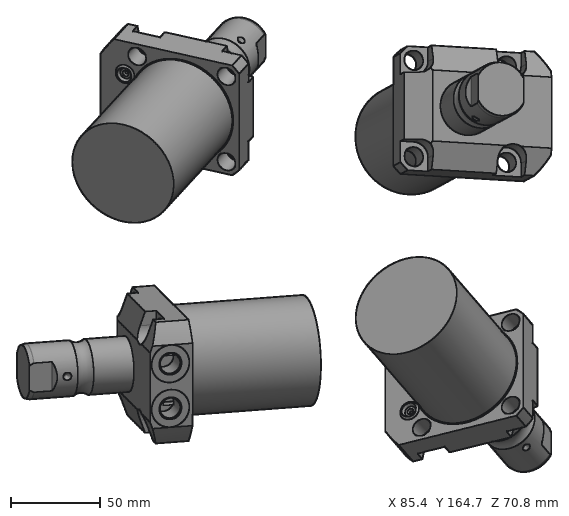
import cadquery as cq
import math


total_length = 164.7
plate_thickness = 24.7
rod_length = 60.1
barrel_length = total_length - plate_thickness - rod_length
rod_end_y = plate_thickness + rod_length

barrel_radius = 31.3
collar_radius = 31.8
collar_length = 0.5

plate_left = -50.0
plate_right = 35.4
plate_half_height = 35.4
left_corner_width = 8.4
left_corner_height = 11.4
left_corner_radius = 55.0
right_corner_radius = 47.1
land_half_height = 20.3
slope_depth = 5.6

hole_offset = 27.5
hole_diameter = 11.0
seat_radius = 8.4
seat_height = 12.7

port_z = 13.0
port_y = 12.8
port_diameter = 11.7
port_chamfer = 0.7
spot_face_diameter = 21.9
spot_face_depth = 0.2

plug_x = -35.0
plug_z = 14.5
plug_radius = 5.8
plug_depth = 5.0
plug_height = 1.2
plug_rim_radius = 4.5
plug_recess_radius = 3.3
plug_recess_depth = 2.0
socket_mouth_radius = 1.8
socket_floor_radius = 1.0
socket_depth = 1.3
passage_diameter = 2.0

rod_radius = 15.8
rod_tip_length = 2.5
rod_tip_inset = 0.7
groove_start = 27.5
groove_width = 9.2
groove_depth = 1.5
flat_half_width = 13.3
flat_length = 13.0
flat_fillet = 0.7
dimple_distance = 21.4
dimple_diameter = 4.8
dimple_angles = (60, 180, 300)


def cylinder_y(radius, start_y, end_y, x=0.0, z=0.0):
    """Solid cylinder along Y."""
    length = end_y - start_y
    return cq.Workplane(cq.Solid.makeCylinder(radius, length, cq.Vector(x, start_y, z), cq.Vector(0, 1, 0)))


def make_barrel():
    barrel = cylinder_y(barrel_radius, -barrel_length, 0)
    return barrel.union(cylinder_y(collar_radius, -collar_length, 0))


def sloped_edge(angle, edge_distance):
    """Wedge that bevels the +Y edge of the side facing `angle`, measured from +X towards +Z."""
    profile = [
        (land_half_height, plate_thickness),
        (edge_distance, plate_thickness - slope_depth),
        (edge_distance, plate_thickness),
    ]
    wedge_reach = 2 * plate_half_height
    wedge = cq.Workplane("XY").polyline(profile).close().extrude(wedge_reach, both=True)
    return wedge.rotate((0, 0, 0), (0, 1, 0), -angle)


def screw_seat(side):
    """Flat seats for the screw heads at the top (side = 1) or bottom (side = -1) of the plate."""
    reach = 2 * seat_radius
    seat_depth = plate_thickness - seat_height
    left_slot = (
        cq.Workplane("XY")
        .box(2 * seat_radius, seat_depth, reach, centered=(True, False, False))
        .translate((-hole_offset, seat_height, hole_offset))
        .union(cylinder_y(seat_radius, seat_height, plate_thickness, -hole_offset, hole_offset))
    )
    inner = hole_offset - seat_radius
    right_corner = (
        cq.Workplane("XY")
        .box(seat_radius + reach, seat_depth, seat_radius + reach, centered=False)
        .translate((inner, seat_height, inner))
        .edges("|Y and <X and <Z")
        .fillet(seat_radius)
    )
    seats = left_slot.union(right_corner)
    return seats if side > 0 else seats.mirror("XY")


def make_plate():
    left_edge_z = plate_half_height - left_corner_height
    left_corner_x = plate_left + left_corner_width
    right_edge_z = math.sqrt(right_corner_radius**2 - plate_right**2)
    right_corner_x = math.sqrt(right_corner_radius**2 - plate_half_height**2)
    plate = (
        cq.Workplane("XZ")
        .moveTo(plate_left, -left_edge_z)
        .lineTo(plate_left, left_edge_z)
        .radiusArc((left_corner_x, plate_half_height), left_corner_radius)
        .lineTo(right_corner_x, plate_half_height)
        .radiusArc((plate_right, right_edge_z), right_corner_radius)
        .lineTo(plate_right, -right_edge_z)
        .radiusArc((right_corner_x, -plate_half_height), right_corner_radius)
        .lineTo(left_corner_x, -plate_half_height)
        .radiusArc((plate_left, -left_edge_z), left_corner_radius)
        .close()
        .extrude(-plate_thickness)
    )
    plate = plate.cut(sloped_edge(0, plate_right))
    plate = plate.cut(sloped_edge(90, plate_half_height))
    plate = plate.cut(sloped_edge(270, plate_half_height))

    for side in (1, -1):
        plate = plate.cut(screw_seat(side))
        for x in (-hole_offset, hole_offset):
            hole = cylinder_y(hole_diameter / 2, 0, plate_thickness, x, side * hole_offset)
            plate = plate.cut(hole)
    return plate


def make_port(side):
    """Flat-bottomed port from the left face, with a spot face and a chamfered mouth."""
    radius = port_diameter / 2
    spot_radius = spot_face_diameter / 2
    floor = plug_x - plate_left
    mouth = spot_face_depth + port_chamfer
    profile = [
        (0, 0),
        (0, spot_radius),
        (spot_face_depth, spot_radius),
        (spot_face_depth, radius + port_chamfer),
        (mouth, radius),
        (floor, radius),
        (floor, 0),
    ]
    port = cq.Workplane("XY").polyline(profile).close().revolve(360, (0, 0, 0), (1, 0, 0))
    return port.translate((plate_left, port_y, side * port_z))


def make_rod():
    groove_end_y = rod_end_y - groove_start
    groove_start_y = groove_end_y - groove_width
    groove_middle = (rod_radius - groove_depth, groove_end_y - groove_width / 2)
    rod = (
        cq.Workplane("XY")
        .moveTo(0, plate_thickness)
        .lineTo(rod_radius, plate_thickness)
        .lineTo(rod_radius, groove_start_y)
        .threePointArc(groove_middle, (rod_radius, groove_end_y))
        .lineTo(rod_radius, rod_end_y - rod_tip_length)
        .lineTo(rod_radius - rod_tip_inset, rod_end_y)
        .lineTo(0, rod_end_y)
        .close()
        .revolve(360, (0, 0, 0), (0, 1, 0))
    )
    run_out = rod_radius - flat_half_width
    flat_end_y = rod_end_y - flat_length
    flat_cut = (
        cq.Workplane("XY")
        .polyline([
            (flat_half_width, rod_end_y),
            (flat_half_width, flat_end_y),
            (rod_radius, flat_end_y - run_out),
            (rod_radius, rod_end_y),
        ])
        .close()
        .extrude(rod_radius, both=True)
        .edges(cq.selectors.NearestToPointSelector((flat_half_width, flat_end_y, 0)))
        .fillet(flat_fillet)
    )
    rod = rod.cut(flat_cut).cut(flat_cut.mirror("YZ"))
    dimple_radius = dimple_diameter / 2
    for angle in dimple_angles:
        outward = cq.Vector(math.cos(math.radians(angle)), 0, math.sin(math.radians(angle)))
        mouth = outward * rod_radius + cq.Vector(0, rod_end_y - dimple_distance, 0)
        dimple = cq.Solid.makeCone(dimple_radius, 0, dimple_radius, mouth, outward * -1)
        rod = rod.cut(cq.Workplane(dimple))
    return rod


def make_plug(side):
    """Plug with a raised round-shouldered rim, a tapered recess and a tapered central socket."""
    recess_floor = plug_recess_depth - plug_height
    socket_floor = recess_floor + socket_depth
    shoulder = plug_radius - plug_rim_radius
    shoulder_middle = (
        plug_rim_radius + shoulder * math.cos(math.pi / 4),
        -plug_height * math.sin(math.pi / 4),
    )
    plug = (
        cq.Workplane("XY")
        .moveTo(0, plug_depth)
        .lineTo(plug_radius, plug_depth)
        .lineTo(plug_radius, 0)
        .threePointArc(shoulder_middle, (plug_rim_radius, -plug_height))
        .lineTo(plug_recess_radius, recess_floor)
        .lineTo(socket_mouth_radius, recess_floor)
        .lineTo(socket_floor_radius, socket_floor)
        .lineTo(0, socket_floor)
        .close()
        .revolve(360, (0, 0, 0), (0, 1, 0))
    )
    return plug.translate((plug_x, 0, side * plug_z))


def make_housing():
    housing = make_plate().union(make_barrel()).union(make_rod())
    for side in (1, -1):
        housing = housing.cut(make_port(side))
        housing = housing.cut(cylinder_y(plug_radius, 0, plug_depth, plug_x, side * plug_z))
        housing = housing.cut(cylinder_y(passage_diameter / 2, plug_depth, port_y, plug_x, side * plug_z))
    return housing


housing = make_housing()
plugs = [make_plug(side) for side in (1, -1)]

result = cq.Compound.makeCompound([housing.val(), *[plug.val() for plug in plugs]])